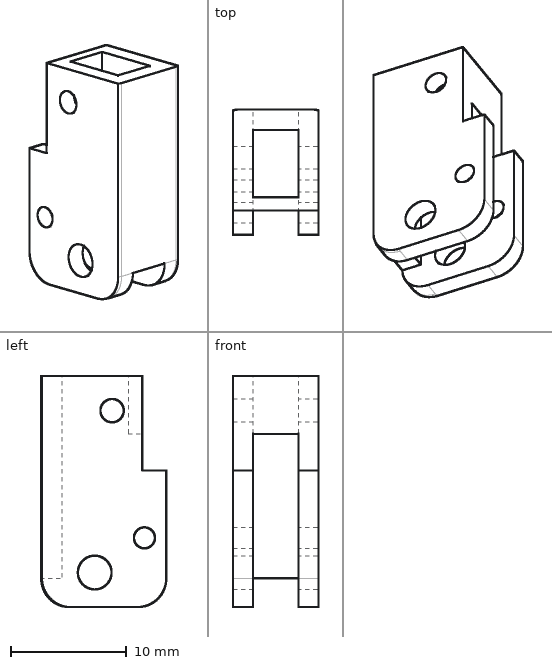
import cadquery as cq
import math

width = 7.4
depth = 10.85
height = 20.0

step_depth = 2.08
step_height = 11.85
bottom_radius = 2.5

bevel_width = 0.35
bevel_depth = 0.08

side_wall = 1.75
channel_front = 3.25
back_wall = 1.8
channel_width = width - 2 * side_wall
channel_back = depth - back_wall

slot_top = 15.0
back_wall_bottom = bottom_radius

cross_holes = [
    (4.7, 17.0, 2.0),
    (1.9, 6.0, 1.8),
    (6.2, 3.0, 2.9),
]


def centred_box(size_x, y_min, y_max, z_min, z_max):
    """Box centred on X that spans the given Y and Z limits."""
    box = cq.Workplane("XY").box(size_x, y_max - y_min, z_max - z_min, centered=(True, False, False))
    return box.translate((0, y_min, z_min))


def side_outline(plane, back):
    """Stepped side profile with rounded bottom corners, reaching back to the given Y."""
    mid_arc = bottom_radius * (1 - math.sqrt(0.5))
    return (
        plane.moveTo(step_depth, height)
        .lineTo(step_depth, step_height)
        .lineTo(0, step_height)
        .lineTo(0, bottom_radius)
        .threePointArc((mid_arc, mid_arc), (bottom_radius, 0))
        .lineTo(back - bottom_radius, 0)
        .threePointArc((back - mid_arc, mid_arc), (back, bottom_radius))
        .lineTo(back, height)
        .close()
    )


def make_side_slab():
    """Thin slab on the +X side whose back edge slopes inwards and fades out at the bottom."""
    inner_x = width / 2 - bevel_width
    inner = side_outline(cq.Workplane("YZ", origin=(inner_x, 0, 0)), depth)
    return side_outline(inner.workplane(offset=bevel_width), depth - bevel_depth).loft(ruled=True)


def make_body():
    """Full-depth core with a bevelled slab on each side."""
    core_width = width - 2 * bevel_width
    core = side_outline(cq.Workplane("YZ"), depth).extrude(core_width / 2, both=True)
    slab = make_side_slab()
    return core.union(slab).union(slab.mirror("YZ")).clean()


def make_cross_hole(y, z, diameter):
    """Cylinder along X spanning the full width."""
    return cq.Workplane("YZ").center(y, z).circle(diameter / 2).extrude(width / 2, both=True)


result = make_body()

result = result.cut(centred_box(channel_width, channel_front, channel_back, 0, height))
result = result.cut(centred_box(channel_width, 0, channel_back, 0, slot_top))
result = result.cut(centred_box(channel_width, 0, depth, 0, back_wall_bottom))

for hole_y, hole_z, hole_diameter in cross_holes:
    result = result.cut(make_cross_hole(hole_y, hole_z, hole_diameter))